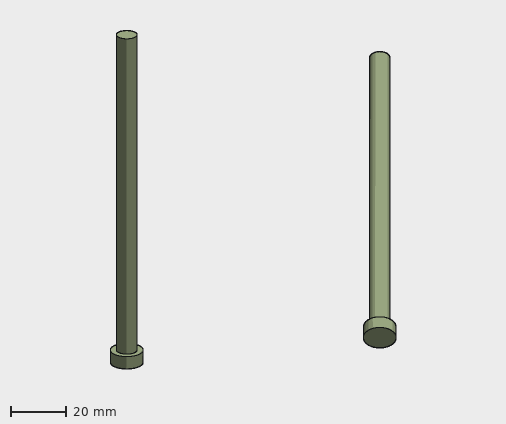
import cadquery as cq

total_length = 130.0
head_diameter = 12.0
head_height = 5.0
shank_diameter = 7.5

head = cq.Workplane("XY").circle(head_diameter / 2).extrude(head_height)
shank = cq.Workplane("XY").circle(shank_diameter / 2).extrude(total_length)

result = head.union(shank)